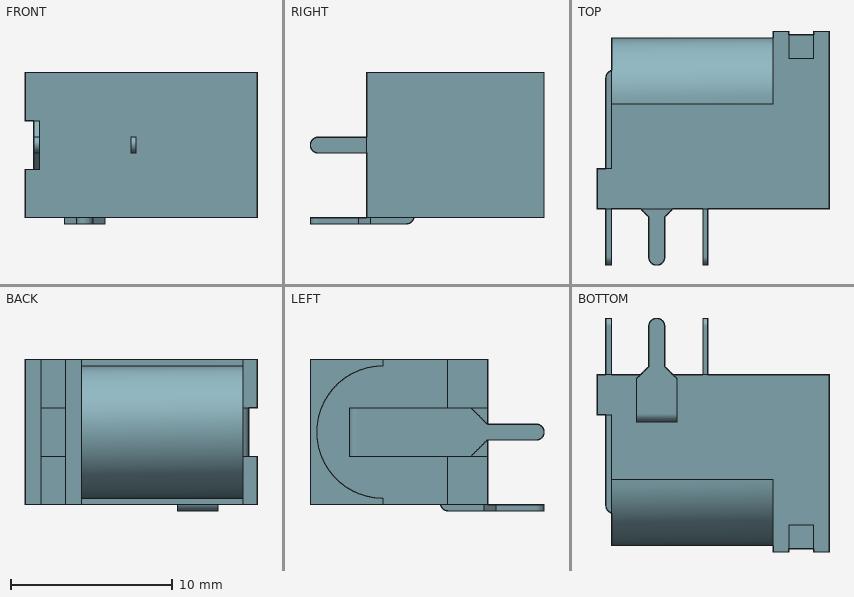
import cadquery as cq

length = 14.4
depth = 11.0
height = 9.0
mid_z = height / 2

face_x = 0.9
foot_depth = 2.5
barrel_radius = 4.1
barrel_y = 6.5
flange_thickness = 3.5
flange_x = length - flange_thickness

notch_x = 11.89
notch_width = 1.54
notch_depth = 1.7
notch_contact_setback = 0.2

pin_reach = 3.5
pin_width = 1.0
bend_radius = 0.5
embed = 0.58

face_contact_x = 0.54
face_contact_width = 3.0
face_contact_end = 8.6
face_contact_neck = 0.05

base_contact_x = 3.7
base_contact_drop = 0.39
base_contact_width = 2.52
base_contact_end = 2.95
base_contact_neck = -0.51

center_pin_x = 6.55
center_pin_thickness = 0.3


def box(x0, x1, y0, y1, z0, z1):
    """Box between two opposite corners."""
    return cq.Workplane("XY").box(x1 - x0, y1 - y0, z1 - z0, centered=False).translate((x0, y0, z0))


def contact_blade(width, end, neck, thickness):
    """Flat contact along Y, outer face on Z = 0, tapering at 45 degrees to a round-ended pin."""
    half = width / 2
    half_pin = pin_width / 2
    shoulder = neck + half - half_pin
    round_start = half_pin - pin_reach
    return (
        cq.Workplane("XY")
        .moveTo(-half, end)
        .lineTo(-half, shoulder)
        .lineTo(-half_pin, neck)
        .lineTo(-half_pin, round_start)
        .threePointArc((0, -pin_reach), (half_pin, round_start))
        .lineTo(half_pin, neck)
        .lineTo(half, shoulder)
        .lineTo(half, end)
        .close()
        .extrude(thickness)
    )


def bent_contact(width, end, neck, thickness):
    """Contact blade whose inner end bends up into the housing."""
    blade = contact_blade(width, end, neck, thickness)
    bend = box(-width / 2, width / 2, end - bend_radius * 2, end, 0, thickness + embed)
    bend = bend.edges(">Y and <Z").fillet(bend_radius)
    trim = box(-width / 2, width / 2, end - bend_radius, end, 0, thickness)
    return blade.cut(trim).union(bend)


def make_housing():
    foot = box(0, face_x, 0, foot_depth, 0, height)
    block = box(face_x, length, 0, barrel_y, 0, height)
    flange = box(flange_x, length, 0, depth, 0, height)
    barrel = (
        cq.Workplane("YZ", origin=(face_x, barrel_y, mid_z))
        .circle(barrel_radius)
        .extrude(flange_x - face_x)
    )
    half_slot = face_contact_width / 2
    foot_slot = box(0, face_x, 0, foot_depth, mid_z - half_slot, mid_z + half_slot)
    notch = box(notch_x, notch_x + notch_width, depth - notch_depth, depth, 0, height)
    notch_contact = box(
        notch_x,
        notch_x + notch_width,
        depth - notch_depth,
        depth - notch_contact_setback,
        mid_z - half_slot,
        mid_z + half_slot,
    )
    return block.union(foot).union(flange).union(barrel).cut(foot_slot).cut(notch).union(notch_contact)


def make_face_contact():
    thickness = face_x - face_contact_x
    contact = bent_contact(face_contact_width, face_contact_end, face_contact_neck, thickness)
    return contact.rotate((0, 0, 0), (0, 1, 0), 90).translate((face_contact_x, 0, mid_z))


def make_base_contact():
    contact = bent_contact(base_contact_width, base_contact_end, base_contact_neck, base_contact_drop)
    return contact.translate((base_contact_x, 0, -base_contact_drop))


def make_center_pin():
    half_pin = pin_width / 2
    round_start = half_pin - pin_reach
    return (
        cq.Workplane("YZ", origin=(center_pin_x, 0, mid_z))
        .moveTo(embed, half_pin)
        .lineTo(round_start, half_pin)
        .threePointArc((-pin_reach, 0), (round_start, -half_pin))
        .lineTo(embed, -half_pin)
        .close()
        .extrude(center_pin_thickness)
    )


result = make_housing().union(make_face_contact()).union(make_base_contact()).union(make_center_pin())